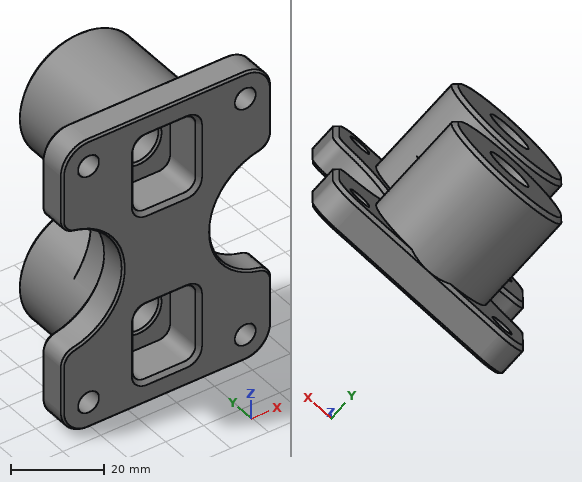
import cadquery as cq
import math

plate_width = 55.25
plate_height = 77.5
plate_thickness = 8.0
corner_radius = 7.0
front_chamfer = 0.5
rear_chamfer = 1.0

waist_radius = 16.05
waist_lip_radius = 4.0

screw_hole_diameter = 5.5

overall_depth = 33.0
boss_diameter = 32.0
boss_offset = (plate_height - boss_diameter) / 2

web_rear = 18.0
web_hollow_radius = 20.3
web_hollow_bite = 0.0015
web_hollow_reach = web_hollow_radius + boss_diameter / 2 - web_hollow_bite
web_hollow_offset = math.sqrt(web_hollow_reach**2 - boss_offset**2)
web_height = 2 * boss_offset * web_hollow_radius / web_hollow_reach

pocket_width = 16.5
pocket_height = 20.2
pocket_depth = 10.4
pocket_corner_radius = 3.0
pocket_chamfer = 1.0
bore_diameter = 11.0
bore_chamfer = 0.5

bevel_angle = 45

half_width = plate_width / 2
waist_centers = [(-half_width, 0), (half_width, 0)]
web_hollow_centers = [(-web_hollow_offset, 0), (web_hollow_offset, 0)]
boss_centers = [(0, -boss_offset), (0, boss_offset)]

root_depth = plate_thickness - rear_chamfer


def sketch_plane(depth):
    """XZ plane at Y = depth, with extrusion towards +Y; local x is -X and local y is Z."""
    return cq.Workplane(cq.Plane(origin=(0, depth, 0), xDir=(-1, 0, 0), normal=(0, 1, 0)))


def make_plate():
    plate = sketch_plane(0).rect(plate_width, plate_height).extrude(plate_thickness)
    plate = plate.edges("|Y").fillet(corner_radius)
    waist_cuts = sketch_plane(0).pushPoints(waist_centers).circle(waist_radius)
    plate = plate.cut(waist_cuts.extrude(plate_thickness))

    lip_zone = cq.selectors.BoxSelector(
        (-plate_width, 0, -plate_height / 4), (plate_width, plate_thickness, plate_height / 4)
    )
    plate = plate.edges("|Y").edges(lip_zone).fillet(waist_lip_radius)

    plate = plate.faces("<Y").chamfer(front_chamfer)
    return plate.faces(">Y").chamfer(rear_chamfer)


def make_web():
    web_length = web_rear - root_depth
    web = sketch_plane(root_depth).rect(boss_diameter, web_height).extrude(web_length)
    hollows = sketch_plane(root_depth).pushPoints(web_hollow_centers).circle(web_hollow_radius)
    web = web.cut(hollows.extrude(web_length))

    rim_radius = web_hollow_radius + rear_chamfer
    bevels = sketch_plane(web_rear).pushPoints(web_hollow_centers).circle(rim_radius)
    return web.cut(bevels.extrude(-rear_chamfer, taper=bevel_angle))


def make_bosses():
    bosses = sketch_plane(root_depth).pushPoints(boss_centers).circle(boss_diameter / 2)
    bosses = bosses.extrude(overall_depth - root_depth)
    return bosses.faces(">Y").chamfer(rear_chamfer)


def rounded_rectangle(width, height, radius):
    return cq.Sketch().rect(width, height).vertices().fillet(radius)


def make_cavity(center):
    """Pocket opening at the plate front and the bore through its floor, both with bevelled rims."""
    pocket_outline = rounded_rectangle(pocket_width, pocket_height, pocket_corner_radius)
    rim_outline = rounded_rectangle(
        pocket_width + 2 * pocket_chamfer,
        pocket_height + 2 * pocket_chamfer,
        pocket_corner_radius + pocket_chamfer,
    )
    pocket = sketch_plane(0).center(*center).placeSketch(pocket_outline).extrude(pocket_depth)
    pocket_rim = sketch_plane(0).center(*center).placeSketch(rim_outline)
    pocket_rim = pocket_rim.extrude(pocket_chamfer, taper=bevel_angle)

    bore = sketch_plane(0).center(*center).circle(bore_diameter / 2).extrude(overall_depth)
    bore_rim = sketch_plane(pocket_depth).center(*center).circle(bore_diameter / 2 + bore_chamfer)
    bore_rim = bore_rim.extrude(bore_chamfer, taper=bevel_angle)
    return pocket.union(pocket_rim).union(bore).union(bore_rim)


def make_screw_holes():
    pattern = sketch_plane(0).rect(
        plate_width - 2 * corner_radius, plate_height - 2 * corner_radius, forConstruction=True
    )
    return pattern.vertices().circle(screw_hole_diameter / 2).extrude(plate_thickness)


result = make_plate().union(make_web()).union(make_bosses())
for boss_center in boss_centers:
    result = result.cut(make_cavity(boss_center))
result = result.cut(make_screw_holes())